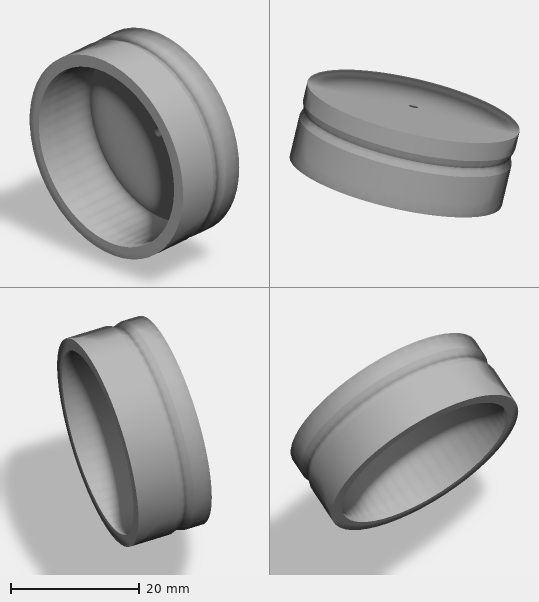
import cadquery as cq

outer_diameter = 34.0
cavity_diameter = 30.0
hole_diameter = 1.5
length = 12.3
floor_thickness = 1.0

groove_offset = 3.0
groove_width = 2.65
groove_depth = 0.48

outer_radius = outer_diameter / 2
cavity_radius = cavity_diameter / 2
hole_radius = hole_diameter / 2
cavity_depth = length - floor_thickness
groove_back = length - groove_offset
groove_bottom = groove_back - groove_width / 2
groove_front = groove_back - groove_width

section = (
    cq.Workplane("XY")
    .moveTo(cavity_radius, 0)
    .lineTo(outer_radius, 0)
    .lineTo(outer_radius, groove_front)
    .lineTo(outer_radius - groove_depth, groove_bottom)
    .lineTo(outer_radius, groove_back)
    .lineTo(outer_radius, length)
    .lineTo(hole_radius, length)
    .lineTo(hole_radius, cavity_depth)
    .lineTo(cavity_radius, cavity_depth)
    .close()
)

result = section.revolve(360, (0, 0, 0), (0, 1, 0))